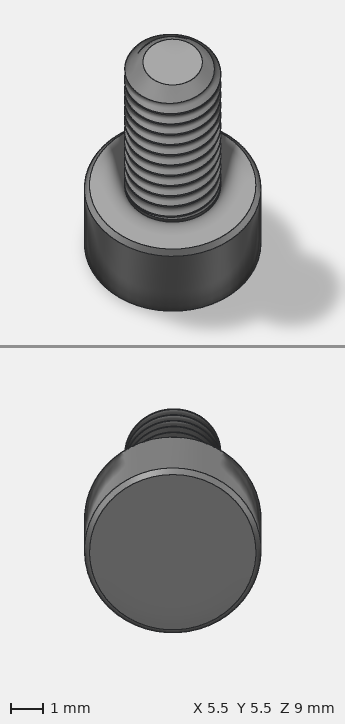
import cadquery as cq
import math


head_diameter = 5.5
head_height = 3.0
head_chamfer = 0.16

thread_diameter = 3.0
pitch = 0.5
shank_length = 6.0
flank_angle = 30
groove_depth_ratio = 17 / 24
crest_flat = pitch / 8
first_root_height = 0.1

tip_flat_diameter = 1.85
tip_angle = 35

collar_height = 0.13
collar_cone_angle = 22

cutter_overshoot = 0.03
run_in_turns = 2
run_out_turns = 1

flank_slope = math.tan(math.radians(flank_angle))
sharp_triangle_height = pitch / 2 / flank_slope
groove_depth = groove_depth_ratio * sharp_triangle_height
root_flat = pitch - crest_flat - 2 * groove_depth * flank_slope
thread_radius = thread_diameter / 2
root_radius = thread_radius - groove_depth
tip_flat_radius = tip_flat_diameter / 2
tip_height = (thread_radius - tip_flat_radius) * math.tan(math.radians(tip_angle))
collar_cone_height = groove_depth * math.tan(math.radians(collar_cone_angle))


def make_head():
    head = cq.Workplane("XY").circle(head_diameter / 2).extrude(-head_height)
    return head.edges().chamfer(head_chamfer)


def make_tapered_rod(end_radius, cylinder_height, total_height):
    """Cylinder of the thread's outer radius that tapers to end_radius at its top."""
    profile = [
        (0, 0),
        (thread_radius, 0),
        (thread_radius, cylinder_height),
        (end_radius, total_height),
        (0, total_height),
    ]
    return cq.Workplane("XZ").polyline(profile).close().revolve(360, (0, 0), (0, 1))


def make_groove():
    """Helical groove that starts below the shank and runs out past its tip."""
    start = first_root_height - run_in_turns * pitch
    length = run_in_turns * pitch + shank_length + run_out_turns * pitch
    outer_radius = thread_radius + cutter_overshoot
    root_half_width = root_flat / 2
    outer_half_width = root_half_width + (groove_depth + cutter_overshoot) * flank_slope
    profile = [
        (root_radius, start - root_half_width),
        (outer_radius, start - outer_half_width),
        (outer_radius, start + outer_half_width),
        (root_radius, start + root_half_width),
    ]
    helix = cq.Wire.makeHelix(pitch, length, root_radius, cq.Vector(0, 0, start))
    groove = cq.Workplane("XZ").polyline(profile).close().sweep(cq.Workplane(helix), isFrenet=True)

    envelope = (
        cq.Workplane("XY")
        .workplane(offset=start - pitch)
        .circle(thread_radius)
        .extrude(length + 2 * pitch)
    )
    return groove.intersect(envelope)


def make_threaded_shank():
    blank = make_tapered_rod(tip_flat_radius, shank_length - tip_height, shank_length)
    return blank.cut(make_groove())


def make_collar():
    """Foot of the shank, which fills the start of the groove."""
    return make_tapered_rod(root_radius, collar_height, collar_height + collar_cone_height)


shank = make_collar().union(make_threaded_shank())
result = make_head().union(shank)